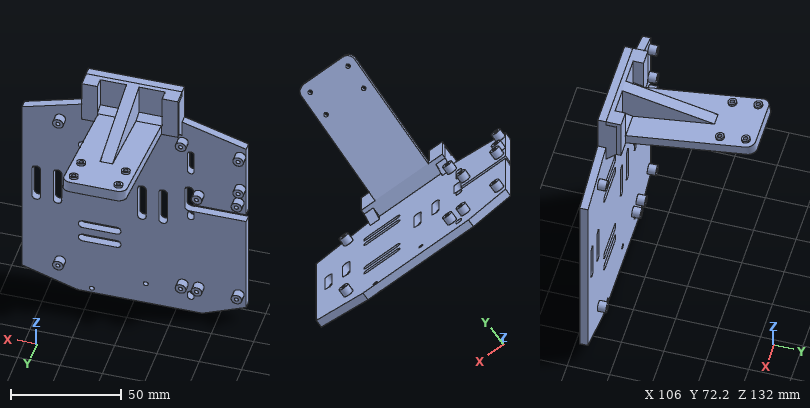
import cadquery as cq
import math

plate_width = 106.0
plate_height = 132.0
plate_thickness = 4.0
side_bottom_z = 8.6
side_top_z = 104.5
tab_width = 45.4
tab_bottom_z = 113.7
bottom_left_x = -32.2
bottom_right_x = 26.8

wide_slot_width = 4.0
wide_slot_length = 20.0
slot_group_x = 16.2
slot_group_z = 60.2
slot_inner_offset = 19.9
upright_slot_outer_offset = 30.0
level_slot_outer_offset = 28.0
narrow_slot_width = 3.0
narrow_slot_x = -26.8
long_narrow_slot = (89.9, 13.1)
short_narrow_slots = [(58.0, 4.8), (9.6, 4.8)]

notch_width = 4.0
notch_corner_x = -26.0
notch_corner_z = 62.7
notch_top_z = 75.0

post_diameter = 5.0
post_height = 4.0
post_hole_diameter = 1.8
lower_post_z = 16.0
post_centres = [(x, z) for x in (-23.1, 34.8) for z in (lower_post_z, 101.9)]
post_centres += [(x, z) for x in (-49.5, -30.6) for z in (lower_post_z, 71.7)]
post_centres += [(-50.3, z) for z in (80.1, 99.5)]

screw_hole_diameter = 2.2
lower_screw_centres = [(-5.5, 11.5), (19.9, 2.5)]
bracket_screw_x = 11.0
bracket_screw_z = 113.4

foot_wall = 2.2
foot_bottom_z = 110.5
rail_depth = 4.9
recess_width = 30.6
recess_floor_angle = 14.0
rail_back_y = plate_thickness + rail_depth
foot_back_y = rail_back_y + foot_wall
recess_back_y = plate_thickness + foot_wall
rail_top_z = plate_height - foot_wall
rail_width = (tab_width - recess_width) / 2 - foot_wall

arm_angle = 10.0
arm_width = 29.8
arm_thickness = 5.0
arm_length = 62.0
arm_corner_radius = 4.0
arm_top_z = foot_bottom_z + arm_thickness / math.cos(math.radians(arm_angle))

boss_diameter = 4.0
boss_height = 1.0
boss_hole_diameter = 2.0
boss_half_spacing = 10.5
boss_distances = (44.9, 57.3)

rib_width = 6.0
rib_tip_y = 49.6


def box(x_range, y_range, z_range):
    """Box between the given limits."""
    limits = (x_range, y_range, z_range)
    sizes = [high - low for low, high in limits]
    corner = tuple(low for low, high in limits)
    return cq.Workplane("XY").box(*sizes, centered=False).translate(corner)


def rear_plane(y):
    """XZ sketch plane at depth y; a negative extrusion runs toward +Y."""
    return cq.Workplane("XZ", origin=(0, y, 0))


def slot(x, z, length, width, angle):
    """Round-ended cutter through the plate."""
    return rear_plane(0).center(x, z).slot2D(length, width, angle).extrude(-plate_thickness)


def side_profile(points, x_start, width):
    """YZ outline extruded along +X from x_start."""
    return cq.Workplane("YZ", origin=(x_start, 0, 0)).polyline(points).close().extrude(width)


def plate_blank():
    half_width = plate_width / 2
    half_tab = tab_width / 2
    outline = [
        (bottom_left_x, 0),
        (bottom_right_x, 0),
        (half_width, side_bottom_z),
        (half_width, side_top_z),
        (half_tab, tab_bottom_z),
        (half_tab, plate_height),
        (-half_tab, plate_height),
        (-half_tab, tab_bottom_z),
        (-half_width, side_top_z),
        (-half_width, side_bottom_z),
    ]
    return rear_plane(0).polyline(outline).close().extrude(-plate_thickness)


def plate_slots():
    slots = []
    for side in (-1, 1):
        for offset in (slot_inner_offset, upright_slot_outer_offset):
            x = slot_group_x + side * offset
            slots.append(slot(x, slot_group_z, wide_slot_length, wide_slot_width, 90))
        for offset in (slot_inner_offset, level_slot_outer_offset):
            z = slot_group_z + side * offset
            slots.append(slot(slot_group_x, z, wide_slot_length, wide_slot_width, 0))
    for z, length in [long_narrow_slot] + short_narrow_slots:
        slots.append(slot(narrow_slot_x, z, length, narrow_slot_width, 90))
    return slots


def notch():
    radius = notch_width / 2
    upright_bottom_z = notch_corner_z - radius
    upright_z = (notch_top_z + upright_bottom_z) / 2
    upright = slot(notch_corner_x, upright_z, notch_top_z - upright_bottom_z, notch_width, 90)
    level = box(
        (-plate_width / 2, notch_corner_x),
        (0, plate_thickness),
        (notch_corner_z - radius, notch_corner_z + radius),
    )
    return upright.union(level)


def rail(x_start):
    """Rail behind the tab, with its lower end sloped at 45 degrees."""
    outline = [
        (plate_thickness, rail_top_z),
        (rail_back_y, rail_top_z),
        (rail_back_y, foot_bottom_z),
        (plate_thickness, foot_bottom_z - rail_depth),
    ]
    return side_profile(outline, x_start, rail_width)


def make_plate():
    plate = plate_blank().cut(notch())
    for cutter in plate_slots():
        plate = plate.cut(cutter)
    for x_start in (-tab_width / 2, tab_width / 2 - rail_width):
        plate = plate.union(rail(x_start))

    post_plane = rear_plane(plate_thickness).pushPoints(post_centres)
    plate = plate.union(post_plane.circle(post_diameter / 2).extrude(-post_height))
    post_holes = rear_plane(0).pushPoints(post_centres).circle(post_hole_diameter / 2)
    plate = plate.cut(post_holes.extrude(-plate_thickness - post_height))

    bracket_screws = [(x, bracket_screw_z) for x in (-bracket_screw_x, bracket_screw_x)]
    screw_centres = lower_screw_centres + bracket_screws
    screw_holes = rear_plane(0).pushPoints(screw_centres).circle(screw_hole_diameter / 2)
    return plate.cut(screw_holes.extrude(-plate_thickness))


def foot():
    """Block behind the tab, cleared for the rails and recessed above the arm."""
    half_tab = tab_width / 2
    block = box((-half_tab, half_tab), (plate_thickness, foot_back_y), (foot_bottom_z, plate_height))
    for x_start in (-half_tab, half_tab - rail_width):
        block = block.cut(rail(x_start))
    floor_rise = (foot_back_y - recess_back_y) * math.tan(math.radians(recess_floor_angle))
    recess_outline = [
        (foot_back_y, arm_top_z),
        (recess_back_y, arm_top_z + floor_rise),
        (recess_back_y, plate_height),
        (foot_back_y, plate_height),
    ]
    return block.cut(side_profile(recess_outline, -recess_width / 2, recess_width))


def arm_plane():
    """Sketch plane on the underside of the arm: X across, Y along the arm."""
    slope = math.radians(arm_angle)
    normal = (0, -math.sin(slope), math.cos(slope))
    return cq.Workplane(cq.Plane((0, foot_back_y, foot_bottom_z), (1, 0, 0), normal))


def arm():
    blank = arm_plane().center(0, arm_length / 2).rect(arm_width, arm_length).extrude(arm_thickness)
    corner_edges = cq.selectors.ParallelDirSelector(arm_plane().plane.zDir)
    return blank.faces(">Y").edges(corner_edges).fillet(arm_corner_radius)


def rib():
    tip_z = arm_top_z + (rib_tip_y - foot_back_y) * math.tan(math.radians(arm_angle))
    outline = [
        (recess_back_y, plate_height),
        (rib_tip_y, tip_z),
        (foot_back_y, arm_top_z),
        (recess_back_y, arm_top_z),
    ]
    return side_profile(outline, -rib_width / 2, rib_width)


def make_bracket():
    bracket = foot().union(arm()).union(rib())
    centres = [(x, y) for x in (-boss_half_spacing, boss_half_spacing) for y in boss_distances]
    boss_top = arm_thickness + boss_height
    bosses = arm_plane().pushPoints(centres).circle(boss_diameter / 2).extrude(boss_top)
    holes = arm_plane().pushPoints(centres).circle(boss_hole_diameter / 2).extrude(boss_top)
    return bracket.union(bosses).cut(holes)


plate = make_plate()
bracket = make_bracket()
result = cq.Compound.makeCompound([plate.solids().val(), bracket.solids().val()])